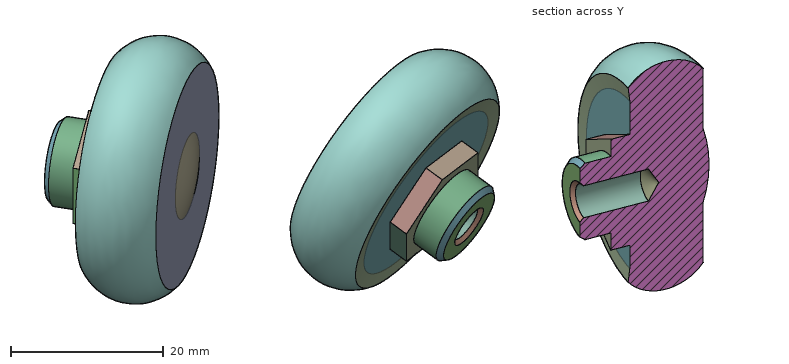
import cadquery as cq
import math

total_length = 18.9
stem_drop = 0.82

stem_diameter = 12.0
stem_length = 4.5
chamfer_length = 0.75
chamfer_height = 0.65

hex_across_flats = 15.0
hex_length = 2.5

wheel_diameter = 35.55
wheel_width = 11.0
face_diameter = 30.23
recess_floor_diameter = 26.03
recess_depth = 0.25

dome_diameter = 11.6

hole_diameter = 4.9
countersink_diameter = 6.0
hole_depth = 10.0
drill_point_angle = 118.0

wheel_start = stem_length + hex_length
wheel_end = wheel_start + wheel_width
recess_floor = wheel_start + recess_depth


def make_wheel():
    """Wheel with a dished near face, a rounded rim and a domed far face."""
    dome_height = total_length - wheel_end
    dome_chord_radius = dome_diameter / 2
    dome_radius = (dome_chord_radius**2 + dome_height**2) / (2 * dome_height)
    half_angle = math.asin(dome_chord_radius / dome_radius) / 2
    dome_middle = (
        total_length - dome_radius * (1 - math.cos(half_angle)),
        dome_radius * math.sin(half_angle),
    )
    profile = (
        cq.Workplane("XY")
        .moveTo(recess_floor, 0)
        .lineTo(recess_floor, recess_floor_diameter / 2)
        .lineTo(wheel_start, face_diameter / 2)
        .threePointArc(
            (wheel_start + wheel_width / 2, wheel_diameter / 2),
            (wheel_end, face_diameter / 2),
        )
        .lineTo(wheel_end, dome_chord_radius)
        .threePointArc(dome_middle, (total_length, 0))
        .close()
    )
    return profile.revolve(360, (0, 0, 0), (1, 0, 0))


def make_hexagon():
    """Hexagon with two corners on the Z axis, reaching down to the recess floor."""
    across_corners = hex_across_flats / math.cos(math.pi / 6)
    return (
        cq.Workplane("YZ", origin=(stem_length, 0, 0))
        .transformed(rotate=(0, 0, 90))
        .polygon(6, across_corners)
        .extrude(recess_floor - stem_length)
    )


def make_stem():
    """Round stem with a chamfered free end."""
    stem = cq.Workplane("YZ").circle(stem_diameter / 2).extrude(stem_length)
    return stem.faces("<X").chamfer(chamfer_length, chamfer_height)


def make_hole():
    """Countersunk blind hole ending in a drill point."""
    radius = hole_diameter / 2
    countersink_radius = countersink_diameter / 2
    countersink_depth = countersink_radius - radius
    point_length = radius / math.tan(math.radians(drill_point_angle / 2))
    profile = (
        cq.Workplane("XY")
        .lineTo(0, countersink_radius)
        .lineTo(countersink_depth, radius)
        .lineTo(hole_depth, radius)
        .lineTo(hole_depth + point_length, 0)
        .close()
    )
    return profile.revolve(360, (0, 0, 0), (1, 0, 0))


stem_offset = (0, 0, -stem_drop)
result = (
    make_wheel()
    .union(make_hexagon().translate(stem_offset))
    .union(make_stem().translate(stem_offset))
    .cut(make_hole().translate(stem_offset))
)